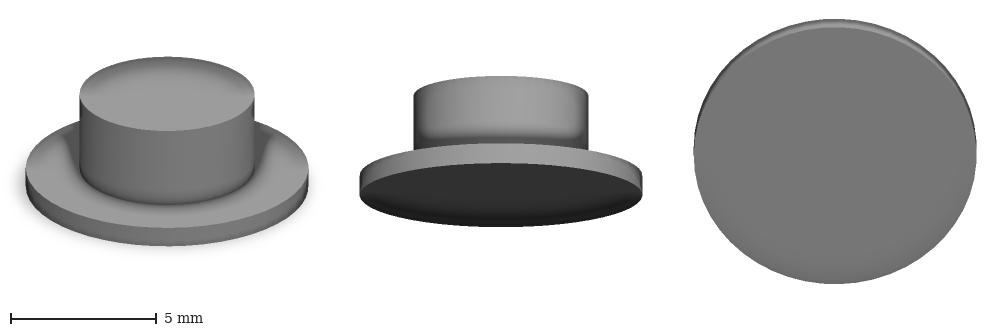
import cadquery as cq

flange_diameter = 9.7
flange_thickness = 0.7
stem_diameter = 6.0
overall_height = 3.5

ring_outer_diameter = 6.8
ring_inner_diameter = 6.7
ring_width = (ring_outer_diameter - ring_inner_diameter) / 2
ring_height = ring_width


def make_ring():
    """Thin ring whose top is level with the flange; it also gives the shape of its groove."""
    return (
        cq.Workplane("XY")
        .workplane(offset=flange_thickness - ring_height)
        .circle(ring_outer_diameter / 2)
        .circle(ring_inner_diameter / 2)
        .extrude(ring_height)
    )


def make_housing(groove):
    """Flange and stem in one piece, with the groove cut into the top of the flange."""
    flange = cq.Workplane("XY").circle(flange_diameter / 2).extrude(flange_thickness)
    stem = cq.Workplane("XY").circle(stem_diameter / 2).extrude(overall_height)
    return flange.union(stem).cut(groove)


ring = make_ring()
housing = make_housing(ring)

result = cq.Compound.makeCompound([housing.val(), ring.val()])